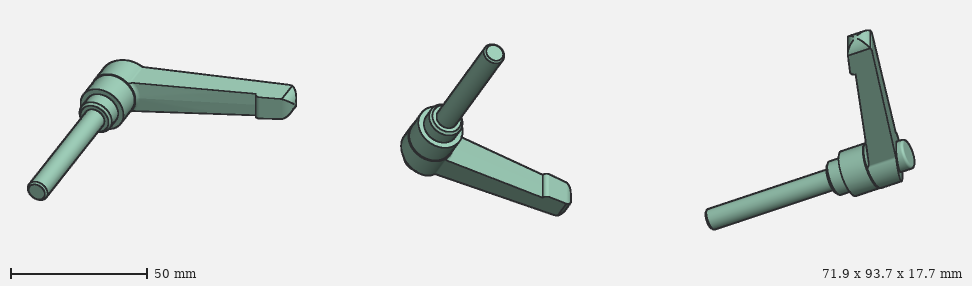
import cadquery as cq
import math

PIN_RADIUS = 4.0
PIN_END = -56.6
PIN_CHAMFER = 0.75
SLEEVE_RADIUS = 6.6
SLEEVE_END = -6.5
SLEEVE_CHAMFER = 0.9
COLLAR_RADIUS = 8.7
HUB_RADIUS = 8.85
HUB_BASE = 10.1
COLLAR_CHAMFER = 0.3
BUTTON_RADIUS = 5.6
BUTTON_TOP = 24.5
BUTTON_FILLET = 1.0

TOP_ANGLE = math.radians(16)
TOP_AT_AXIS = 20.3
LEVER_TOP = 37.1
TIP_X = 71.9 - HUB_RADIUS
TIP_START_X = 59.8
TIP_BOTTOM = 27.9
TIP_MID_Y = (LEVER_TOP + TIP_BOTTOM) / 2
LOBE_X = 52.0
LOBE_Y = 25.1
LOBE_SIDE_X = 50.7
LOBE_SIDE_Y = 25.3
NOTCH_X = 49.9
NOTCH_Y = 26.4
ROOT_X = 6.6
ROOT_Y = 11.4
UNDERSIDE_SLOPE = (NOTCH_Y - ROOT_Y) / (NOTCH_X - ROOT_X)
UNDERSIDE_AT_AXIS = ROOT_Y - UNDERSIDE_SLOPE * ROOT_X

ROOT_HALF_WIDTH = 6.5
TIP_HALF_WIDTH = 4.6
TAPER = (ROOT_HALF_WIDTH - TIP_HALF_WIDTH) / (TIP_START_X - ROOT_X)
HUB_BLEND = 1.3

RIDGE_START_X = 4.7
RIDGE_START_DEPTH = 0.7
RIDGE_END_DEPTH = 0.1
RIDGE_OVERLAP = 0.9

MARGIN = 1.9
TOLERANCE = 0.01
EDGE_CLEARANCE = 0.1


def cylinder(radius, start, end):
    """Cylinder on the Y axis between two heights."""
    return cq.Workplane("XZ", origin=(0, start, 0)).circle(radius).extrude(start - end)


def top_height(x):
    """Height of the sloping top face at a given X."""
    return TOP_AT_AXIS + x * math.tan(TOP_ANGLE)


def half_width(x):
    """Half width of the tapered arm at a given X."""
    return ROOT_HALF_WIDTH - TAPER * (x - ROOT_X)


def make_hub():
    """Round hub cut off by the sloping top plane of the lever."""
    reach = HUB_RADIUS + MARGIN
    below_top = (
        cq.Workplane("XY")
        .polyline([(-reach, 0), (reach, 0), (reach, top_height(reach)), (-reach, top_height(-reach))])
        .close()
        .extrude(reach, both=True)
    )
    hub = cylinder(HUB_RADIUS, HUB_BASE, LEVER_TOP).rotate((0, 0, 0), (0, 1, 0), 180)
    return hub.intersect(below_top)


def make_arm():
    """Arm common to its side outline and its tapered, round-ended plan."""
    plan = (
        cq.Workplane("XZ", origin=(0, HUB_BASE, 0))
        .moveTo(0, -half_width(0))
        .lineTo(TIP_START_X, -TIP_HALF_WIDTH)
        .threePointArc((TIP_X, 0), (TIP_START_X, TIP_HALF_WIDTH))
        .lineTo(0, half_width(0))
        .close()
        .extrude(HUB_BASE - LEVER_TOP)
    )
    slope_end_x = (LEVER_TOP - TOP_AT_AXIS) / math.tan(TOP_ANGLE)
    outline = (
        cq.Workplane("XY")
        .moveTo(0, UNDERSIDE_AT_AXIS)
        .lineTo(NOTCH_X, NOTCH_Y)
        .threePointArc((LOBE_SIDE_X, LOBE_SIDE_Y), (LOBE_X, LOBE_Y))
        .lineTo(TIP_START_X, TIP_BOTTOM)
        .threePointArc((TIP_X, TIP_MID_Y), (TIP_START_X, LEVER_TOP))
        .lineTo(slope_end_x, LEVER_TOP)
        .lineTo(0, TOP_AT_AXIS)
        .close()
        .extrude(HUB_RADIUS, both=True)
    )
    return plan.intersect(outline)


def ridge_section(x, depth):
    """Closed wire across the arm with a shallow V below the underside."""
    edge_y = UNDERSIDE_AT_AXIS + UNDERSIDE_SLOPE * x
    width = half_width(x)
    corners = [
        (x, edge_y + RIDGE_OVERLAP, -width),
        (x, edge_y, -width),
        (x, edge_y - depth, 0),
        (x, edge_y, width),
        (x, edge_y + RIDGE_OVERLAP, width),
    ]
    return cq.Wire.makePolygon([cq.Vector(*corner) for corner in corners], close=True)


def make_ridge():
    """Ridge lofted from inside the hub to the notch."""
    sections = [
        ridge_section(RIDGE_START_X, RIDGE_START_DEPTH),
        ridge_section(NOTCH_X, RIDGE_END_DEPTH),
    ]
    above_base = cylinder(TIP_X, HUB_BASE, LEVER_TOP)
    return cq.Workplane(cq.Solid.makeLoft(sections, True)).intersect(above_base)


def is_joint(edge):
    """True for edges on the hub cylinder along the sides and underside of the arm."""
    middle = edge.positionAt(0.5)
    on_hub = abs(math.hypot(middle.x, middle.z) - HUB_RADIUS) < TOLERANCE
    in_arm = middle.x > 0 and abs(middle.z) < ROOT_HALF_WIDTH + EDGE_CLEARANCE
    off_rims = HUB_BASE + EDGE_CLEARANCE < middle.y < top_height(middle.x) - EDGE_CLEARANCE
    return on_hub and in_arm and off_rims


def make_lever():
    """Hub and arm in one piece, blended where the arm leaves the hub."""
    lever = make_hub().union(make_arm()).union(make_ridge())
    joint_edges = [edge for edge in lever.edges().vals() if is_joint(edge)]
    return lever.newObject(joint_edges).fillet(HUB_BLEND)


result = (
    make_lever()
    .union(cylinder(COLLAR_RADIUS, 0, HUB_BASE).faces(">Y").chamfer(COLLAR_CHAMFER))
    .union(cylinder(SLEEVE_RADIUS, SLEEVE_END, 0).faces("<Y").chamfer(SLEEVE_CHAMFER))
    .union(cylinder(PIN_RADIUS, PIN_END, SLEEVE_END).faces("<Y").chamfer(PIN_CHAMFER))
    .union(cylinder(BUTTON_RADIUS, HUB_BASE, BUTTON_TOP).faces(">Y").fillet(BUTTON_FILLET))
)